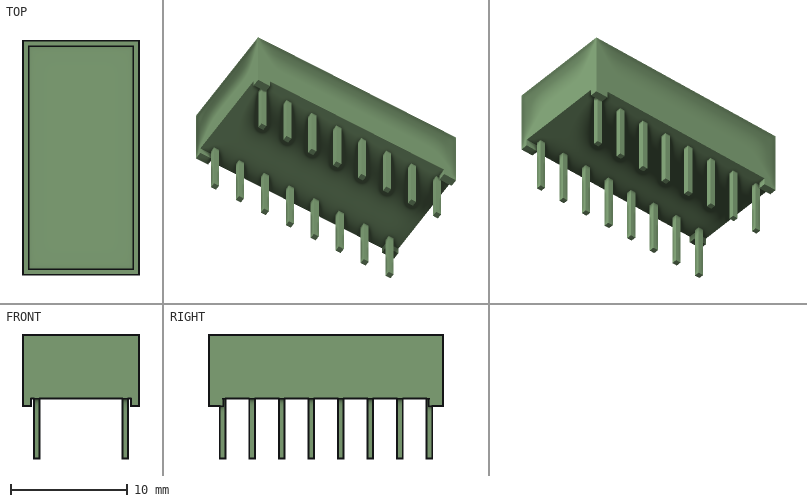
import cadquery as cq

width = 10.0
length = 20.17
total_height = 10.65

block_height = 5.49
rim_width = 0.5
recess_depth = 0.1

foot_width = 0.7
foot_length = 1.23
foot_height = 0.65

pin_size = 0.5
pins_per_row = 8
pin_pitch = 2.55
row_spacing = 3 * pin_pitch
pin_length = total_height - block_height


def make_housing():
    """Block with its underside at Z = 0 and the display face sunk below the rim."""
    block = cq.Workplane("XY").box(width, length, block_height, centered=(True, True, False))
    return (
        block.faces(">Z").workplane()
        .rect(width - 2 * rim_width, length - 2 * rim_width)
        .cutBlind(-recess_depth)
    )


def make_feet():
    """Standoff feet flush with the outer corners of the housing."""
    return (
        cq.Workplane("XY")
        .rarray(width - foot_width, length - foot_length, 2, 2)
        .rect(foot_width, foot_length)
        .extrude(-foot_height)
    )


def make_pins():
    """Both pin rows, hanging from the underside of the housing."""
    return (
        cq.Workplane("XY")
        .rarray(row_spacing, pin_pitch, 2, pins_per_row)
        .rect(pin_size, pin_size)
        .extrude(-pin_length)
    )


result = make_housing().union(make_feet()).union(make_pins())